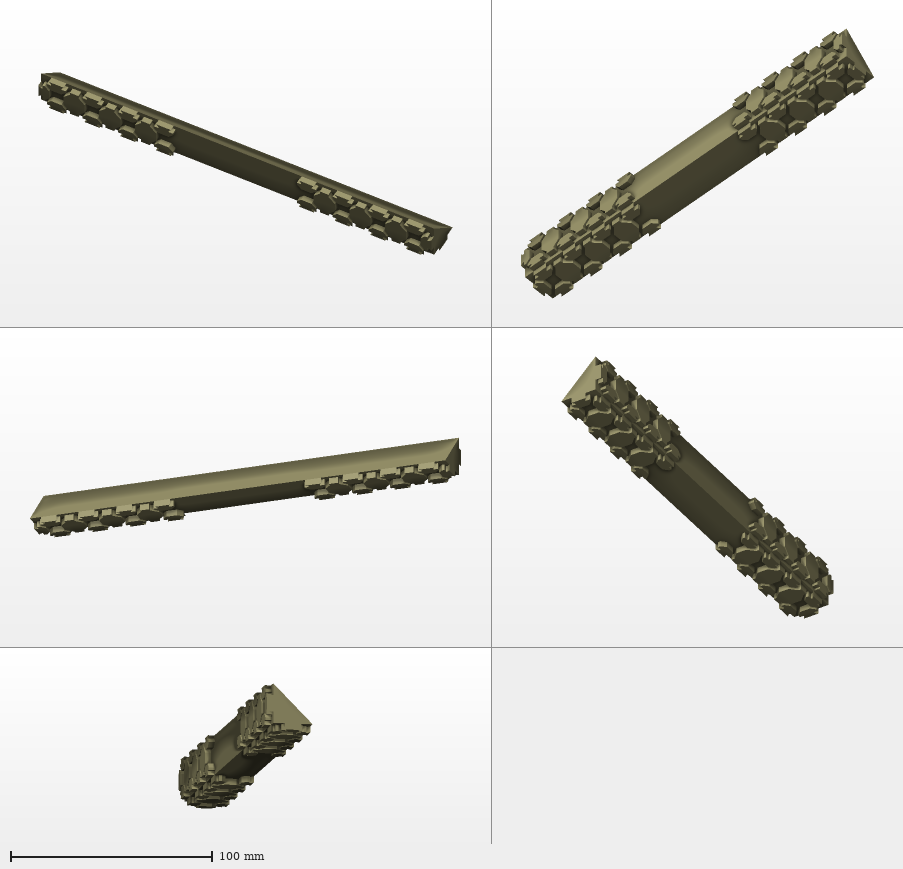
import cadquery as cq

length = 220.0
outer_height = 23.0
cell_count = 11
cells_per_bank = 4

cell = length / cell_count
wedge_leg = cell
pad_depth = outer_height - wedge_leg

reach = 6.0
tip_half = 2.9
shoulder_half = 5.3
shoulder_start = 2.2
neck_half = 2.9
border_half = 4.2
flare_start = 1.3
centre_top_half = 2.5
centre_margin = 2.0

diagonal_sum = reach + tip_half
shoulder_end = diagonal_sum - shoulder_half
centre_half_height = cell / 2 - centre_margin

edge_half_outline = [
    (border_half, 0),
    (neck_half, flare_start),
    (neck_half, shoulder_start),
    (shoulder_half, shoulder_start),
    (shoulder_half, shoulder_end),
    (tip_half, reach),
]
edge_outline = edge_half_outline + [(-x, y) for x, y in reversed(edge_half_outline)]

centre_quarter = [
    (reach, tip_half),
    (centre_top_half, diagonal_sum - centre_top_half),
    (centre_top_half, centre_half_height),
]
centre_upper = centre_quarter + [(-x, y) for x, y in reversed(centre_quarter)]
centre_outline = centre_upper + [(-x, -y) for x, y in centre_upper]


def make_wedge():
    """Right-triangle bar with its square corner towards -Y and -Z."""
    section = [(0, 0), (wedge_leg, 0), (0, wedge_leg)]
    return cq.Workplane("YZ").polyline(section).close().extrude(length / 2, both=True)


def make_pad(face, outline, x, y, turn):
    """Raise one pad on a face, with its outline turned about its own origin."""
    pad_plane = face.rotated((0, 0, turn))
    pad_plane.origin = face.toWorldCoords((x, y))
    return cq.Workplane(pad_plane).polyline(outline).close().extrude(pad_depth)


def make_bank(face):
    """Pads of the bank that starts at the -X end of a face."""
    bank = [make_pad(face, edge_outline, -length / 2, 0, -90)]
    for index in range(cells_per_bank):
        border_x = -length / 2 + index * cell
        middle_x = border_x + cell / 2
        bank.append(make_pad(face, edge_outline, middle_x, cell / 2, 180))
        bank.append(make_pad(face, edge_outline, middle_x, -cell / 2, 0))
        if index > 0:
            bank.append(make_pad(face, centre_outline, border_x, 0, 0))
    return bank


front_face = cq.Plane(origin=(0, 0, wedge_leg / 2), xDir=(1, 0, 0), normal=(0, -1, 0))
bottom_face = cq.Plane(origin=(0, wedge_leg / 2, 0), xDir=(1, 0, 0), normal=(0, 0, -1))

result = make_wedge()
for leg_face in (front_face, bottom_face):
    for pad in make_bank(leg_face):
        result = result.union(pad).union(pad.mirror("YZ"))